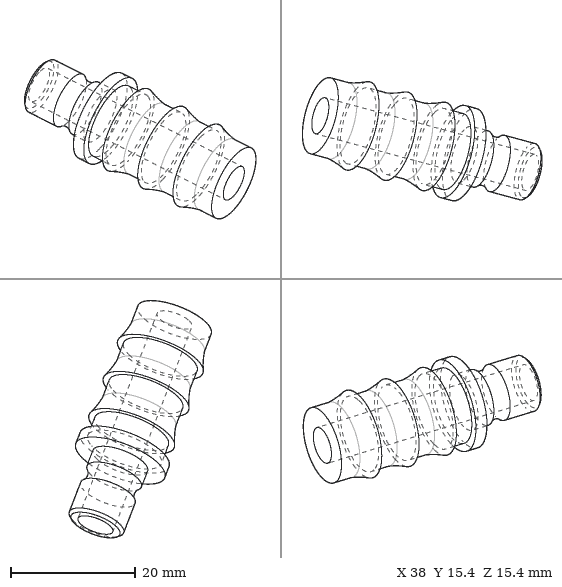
import cadquery as cq

total_length = 38.0
bore_radius = 3.0

plug_radius = 4.7
tip_chamfer = 0.5
groove_start = 6.0
groove_width = 3.0
groove_depth = 0.65
groove_floor_radius = plug_radius - groove_depth

flange_diameter = 15.4
flange_radius = flange_diameter / 2
flange_start = 11.95
flange_width = 2.05

tail_radius = 6.35
barb_radius = 7.37
barb_start = 17.4
barb_length = 3.45
barb_pitch = 6.88
barb_count = 3
barb_sag = 0.1


def add_groove(profile):
    """Draw the rounded retaining groove in the plug."""
    groove_end = groove_start + groove_width
    groove_middle = groove_start + groove_width / 2
    return (
        profile.lineTo(groove_start, plug_radius)
        .threePointArc((groove_middle, groove_floor_radius), (groove_end, plug_radius))
    )


def add_barb(profile, start):
    """Draw one barb: a square shoulder, then a concave flank down to the tail."""
    flank_middle = (start + barb_length / 2, (barb_radius + tail_radius) / 2 - barb_sag)
    return (
        profile.lineTo(start, tail_radius)
        .lineTo(start, barb_radius)
        .threePointArc(flank_middle, (start + barb_length, tail_radius))
    )


flange_end = flange_start + flange_width
profile = (
    cq.Workplane("XY")
    .moveTo(0, bore_radius)
    .lineTo(0, plug_radius - tip_chamfer)
    .lineTo(tip_chamfer, plug_radius)
)
profile = add_groove(profile)
profile = (
    profile.lineTo(flange_start, plug_radius)
    .lineTo(flange_start, flange_radius)
    .lineTo(flange_end, flange_radius)
    .lineTo(flange_end, tail_radius)
)
for index in range(barb_count):
    profile = add_barb(profile, barb_start + index * barb_pitch)
profile = (
    profile.lineTo(total_length, tail_radius)
    .lineTo(total_length, bore_radius)
    .close()
)

result = profile.revolve(360, (0, 0, 0), (1, 0, 0))